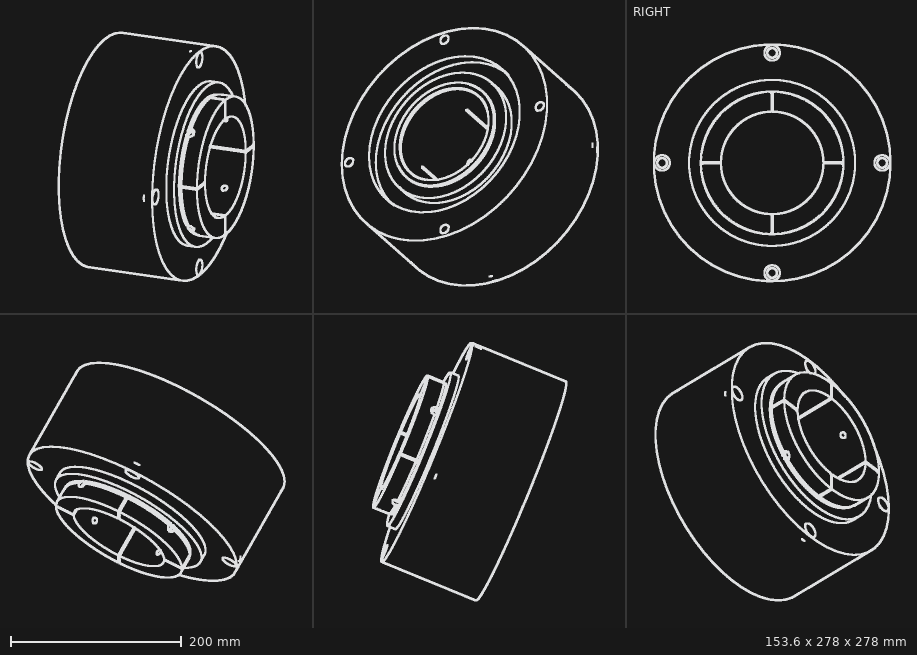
import cadquery as cq

housing_diameter = 278.0
housing_length = 119.5
collar_diameter = 195.0
collar_length = 10.0
collar_end = housing_length + collar_length
recess_diameter = 204.0
recess_depth = 15.8
mount_hole_diameter = 11.0
mount_circle_radius = 129.0
mount_hole_count = 4
counterbore_diameter = 18.0
counterbore_depth = 11.0

rotor_diameter = 164.0
rotor_setback = 2.8
lip_diameter = 134.5
lip_projection = 0.8
bore_diameter = 120.0
mouth_diameter = 120.5
mouth_depth = 2.8
neck_diameter = 166.0
neck_length = 3.3
clamp_diameter = 167.5
clamp_length = 20.0
clamp_start = collar_end + neck_length
rotor_end = clamp_start + clamp_length

slot_width = 2.0
slot_count = 4
slot_start = 52.8
screw_count = 4
screw_angle_offset = 45.0
screw_position = collar_end + 3.5
screw_head_diameter = 10.5
screw_head_depth = 5.5
screw_hole_diameter = 6.7


def cylinder(diameter, start, end):
    """Solid cylinder on the X axis between two X positions."""
    return cq.Workplane("YZ").workplane(offset=start).circle(diameter / 2).extrude(end - start)


def copies_about_x(cutter, count, first_angle=0.0):
    """Equally spaced copies of a cutter around the X axis."""
    step = 360.0 / count
    return [cutter.rotate((0, 0, 0), (1, 0, 0), first_angle + i * step) for i in range(count)]


def radial_cylinder(diameter, position, inner_radius, outer_radius):
    """Cylinder along +Z at an X position, between two distances from the axis."""
    plane = cq.Workplane("XY", origin=(position, 0, inner_radius))
    return plane.circle(diameter / 2).extrude(outer_radius - inner_radius)


def make_mount_hole():
    """Cutter for the mounting hole above the axis, counterbored from the collar side."""
    through = cylinder(mount_hole_diameter, 0, housing_length)
    counterbore = cylinder(counterbore_diameter, housing_length - counterbore_depth, housing_length)
    return through.union(counterbore).translate((0, 0, mount_circle_radius))


def make_housing():
    body = cylinder(housing_diameter, 0, housing_length)
    body = body.union(cylinder(collar_diameter, housing_length, collar_end))
    body = body.cut(cylinder(rotor_diameter, 0, collar_end))
    body = body.cut(cylinder(recess_diameter, 0, recess_depth))
    for cutter in copies_about_x(make_mount_hole(), mount_hole_count):
        body = body.cut(cutter)
    return body


def make_rotor():
    body = cylinder(rotor_diameter, rotor_setback, collar_end)
    body = body.union(cylinder(lip_diameter, -lip_projection, rotor_setback))
    body = body.union(cylinder(neck_diameter, collar_end, clamp_start))
    body = body.union(cylinder(clamp_diameter, clamp_start, rotor_end))
    body = body.cut(cylinder(bore_diameter, -lip_projection, rotor_end))
    body = body.cut(cylinder(mouth_diameter, -lip_projection, mouth_depth - lip_projection))

    slot = cq.Workplane("XY").box(
        rotor_end - slot_start, slot_width, clamp_diameter / 2, centered=False
    ).translate((slot_start, -slot_width / 2, 0))
    for cutter in copies_about_x(slot, slot_count):
        body = body.cut(cutter)

    clamp_radius = clamp_diameter / 2
    screw = radial_cylinder(screw_hole_diameter, screw_position, 0, clamp_radius)
    head = radial_cylinder(
        screw_head_diameter, screw_position, clamp_radius - screw_head_depth, clamp_radius
    )
    for cutter in copies_about_x(screw.union(head), screw_count, screw_angle_offset):
        body = body.cut(cutter)
    return body


housing = make_housing()
rotor = make_rotor()
result = cq.Compound.makeCompound([housing.val(), rotor.val()])